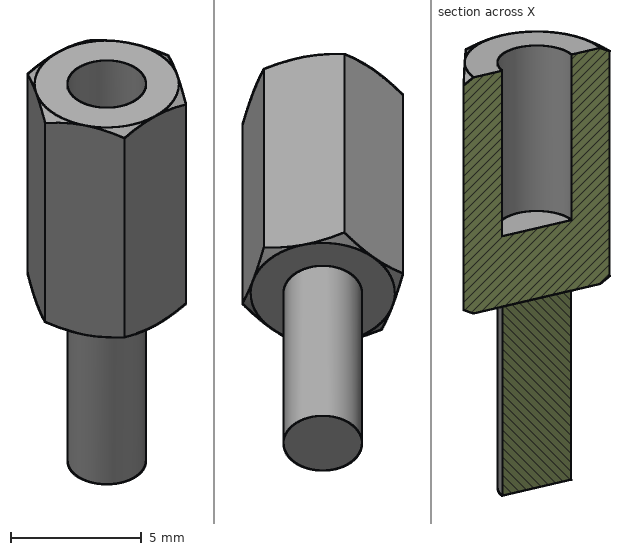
import cadquery as cq
import math

total_length = 18.0
hex_length = 10.0
across_flats = 5.5
thread_diameter = 3.0
bore_depth = 7.0
chamfer_angle = 30.0

stud_length = total_length - hex_length
flat_radius = across_flats / 2
corner_radius = flat_radius / math.cos(math.radians(30))
corner_drop = (corner_radius - flat_radius) * math.tan(math.radians(chamfer_angle))


def make_chamfer_envelope():
    """Revolved barrel whose conical ends trim the six corners of the hexagon."""
    top = total_length
    bottom = stud_length
    return (
        cq.Workplane("XZ")
        .moveTo(0, bottom)
        .lineTo(flat_radius, bottom)
        .lineTo(corner_radius, bottom + corner_drop)
        .lineTo(corner_radius, top - corner_drop)
        .lineTo(flat_radius, top)
        .lineTo(0, top)
        .close()
        .revolve(360, (0, 0, 0), (0, 1, 0))
    )


def make_hex_spacer():
    """Hexagonal spacer, corners on the Y axis, with a blind bore from the top."""
    hexagon = (
        cq.Workplane("XY", origin=(0, 0, stud_length))
        .transformed(rotate=(0, 0, 90))
        .polygon(6, 2 * corner_radius)
        .extrude(hex_length)
    )
    bore = (
        cq.Workplane("XY", origin=(0, 0, total_length - bore_depth))
        .circle(thread_diameter / 2)
        .extrude(bore_depth)
    )
    return hexagon.intersect(make_chamfer_envelope()).cut(bore)


def make_stud():
    """Plain round stud that meets the underside of the spacer."""
    return cq.Workplane("XY").circle(thread_diameter / 2).extrude(stud_length)


hex_spacer = make_hex_spacer()
stud = make_stud()

result = cq.Compound.makeCompound([hex_spacer.val(), stud.val()])